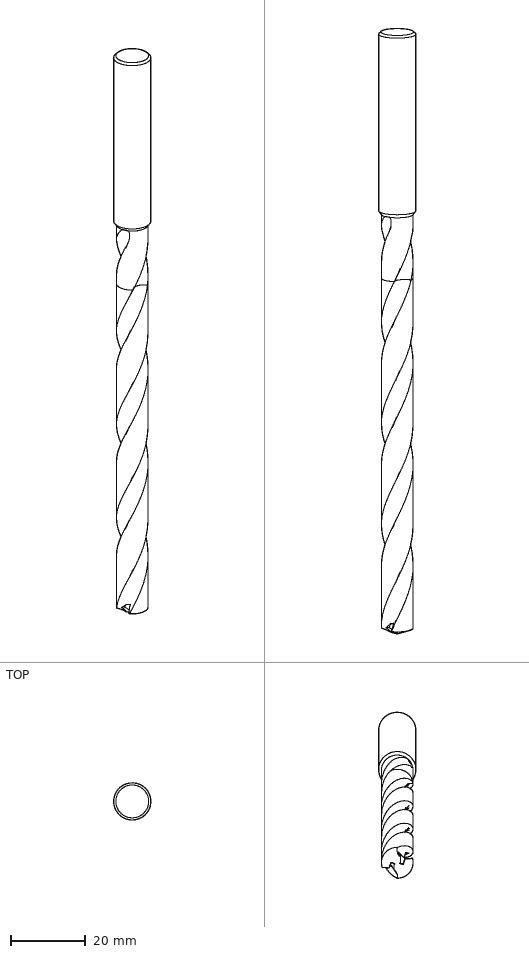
import cadquery as cq
import math

total_length = 165.0
shank_diameter = 10.0
shank_length = 49.0
cutter_diameter = 8.5
joint_height = 97.5
point_angle = 140.0
shank_end_chamfer = 0.6
shank_step_height = 1.0
seam_angle = 180.0

flute_count = 2
flute_pitch = 55.4
core_radius = 2.0
flute_cut_radius = 2.8
flute_start_angle = -84.0
flute_helix_top = 109.5
flute_overrun = 1.0
runout_lean_angle = 37.0
runout_slope_angle = 6.0

notch_tilt_angle = 45.0
notch_height = 1.8
notch_web = 0.3
notch_start = 0.7
notch_side = 1.6

shank_radius = shank_diameter / 2
cutter_radius = cutter_diameter / 2
point_height = cutter_radius / math.tan(math.radians(point_angle / 2))
shank_bottom = total_length - shank_length
neck_top = shank_bottom - shank_step_height
runout_rise = neck_top - flute_helix_top
flute_centre_radius = core_radius + flute_cut_radius
flute_spacing = 360.0 / flute_count


def flute_angle(height):
    """Direction of the first flute, in degrees about Z, at a height."""
    return flute_start_angle + 360.0 * height / flute_pitch


def turn(outline):
    """Revolve a half outline of radius and height about Z, with its seam on the -X side."""
    return (
        cq.Workplane("XZ")
        .polyline(outline)
        .close()
        .revolve(360, (0, 0), (0, 1))
        .rotate((0, 0, 0), (0, 0, 1), seam_angle)
    )


def flute_section(height, index):
    """Round cut of one flute, lying flat at a height."""
    return (
        cq.Workplane("XY")
        .workplane(offset=height)
        .transformed(rotate=(0, 0, flute_angle(height) + index * flute_spacing))
        .moveTo(flute_centre_radius, 0)
        .circle(flute_cut_radius)
    )


def flute_groove(bottom, top, index):
    """Helical groove of one flute between two heights."""
    return flute_section(bottom, index).twistExtrude(top - bottom, flute_angle(top) - flute_angle(bottom))


def flute_runout(index):
    """Straight end of one flute, leaning over and out of the neck."""
    lean = runout_rise * math.tan(math.radians(runout_lean_angle))
    outward = runout_rise * math.tan(math.radians(runout_slope_angle))
    angle = math.radians(flute_angle(flute_helix_top) + index * flute_spacing)
    path = cq.Vector(
        outward * math.cos(angle) - lean * math.sin(angle),
        outward * math.sin(angle) + lean * math.cos(angle),
        runout_rise,
    )
    section = cq.Face.makeFromWires(flute_section(flute_helix_top, index).wire().val())
    return cq.Workplane(cq.Solid.extrudeLinear(section, path))


def web_notch(index):
    """Sloping notch that thins the web at the point inside one flute."""
    wedge = (
        cq.Workplane("YZ")
        .workplane(offset=notch_start)
        .polyline(
            [
                (-notch_web, 0),
                (-core_radius, notch_height),
                (-cutter_diameter, notch_height),
                (-cutter_diameter, -notch_height),
                (-notch_web, -notch_height),
            ]
        )
        .close()
        .extrude(cutter_diameter)
        .rotate((0, 0, 0), (0, 1, 0), -notch_tilt_angle)
    )
    side_limit = cq.Workplane("XY").box(2 * notch_side, 4 * cutter_diameter, 4 * cutter_diameter)
    return wedge.intersect(side_limit).rotate((0, 0, 0), (0, 0, 1), index * flute_spacing)


cutter = turn(
    [
        (0, 0),
        (cutter_radius, point_height),
        (cutter_radius, joint_height),
        (0, joint_height),
    ]
)
for index in range(flute_count):
    cutter = cutter.cut(flute_groove(-flute_overrun, joint_height + flute_overrun, index))
for index in range(flute_count):
    cutter = cutter.cut(web_notch(index))

shank = turn(
    [
        (0, joint_height),
        (cutter_radius, joint_height),
        (cutter_radius, neck_top),
        (shank_radius, shank_bottom),
        (shank_radius, total_length - shank_end_chamfer),
        (shank_radius - shank_end_chamfer, total_length),
        (0, total_length),
    ]
)
for index in range(flute_count):
    shank = shank.cut(flute_groove(joint_height, flute_helix_top, index))
for index in range(flute_count):
    shank = shank.cut(flute_runout(index))

result = cq.Compound.makeCompound([cutter.val(), shank.val()])